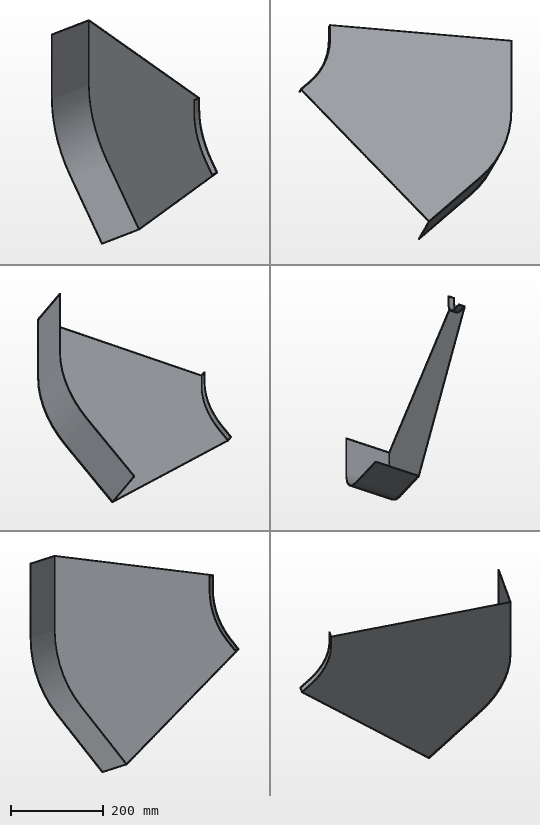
import cadquery as cq
import math

sheet = 0.8
length = 467.0
outer_depth = 100.0
inner_depth = 14.0
outer_radius = 228.8
inner_radius = 149.5
outer_straight = 163.5
turn = math.radians(45)

outer_end_x = outer_radius * (1 - math.cos(turn)) + outer_straight * math.sin(turn)
width = (length - outer_end_x) / math.cos(turn)

half_tan = math.tan(turn / 2)
inner_straight = outer_straight + (outer_radius - inner_radius - width) * half_tan


def bend_edge(radius, straight, center_x):
    """Points of a bent edge: start, arc start, arc middle, arc end and end."""

    def on_arc(angle):
        return (center_x - radius * math.cos(angle), -straight - radius * math.sin(angle))

    arc_end = on_arc(turn)
    end = (arc_end[0] + straight * math.sin(turn), arc_end[1] - straight * math.cos(turn))
    return [(center_x - radius, 0), on_arc(0), on_arc(turn / 2), arc_end, end]


def strip(edge, far_edge, depth):
    """Solid between two bent edges, standing forward (-Y) from the back face."""
    start, arc_start, arc_middle, arc_end, end = edge
    far_start, far_arc_start, far_arc_middle, far_arc_end, far_end = far_edge
    return (
        cq.Workplane("XZ")
        .moveTo(*start)
        .lineTo(*arc_start)
        .threePointArc(arc_middle, arc_end)
        .lineTo(*end)
        .lineTo(*far_end)
        .lineTo(*far_arc_end)
        .threePointArc(far_arc_middle, far_arc_start)
        .lineTo(*far_start)
        .close()
        .extrude(depth)
    )


outer_center_x = outer_radius
inner_center_x = width + inner_radius
outer_edge = bend_edge(outer_radius, outer_straight, outer_center_x)
outer_inside = bend_edge(outer_radius - sheet, outer_straight, outer_center_x)
inner_edge = bend_edge(inner_radius, inner_straight, inner_center_x)
inner_inside = bend_edge(inner_radius + sheet, inner_straight, inner_center_x)

back_plate = strip(outer_edge, inner_edge, sheet)
outer_flange = strip(outer_edge, outer_inside, outer_depth)
inner_flange = strip(inner_edge, inner_inside, inner_depth)

result = back_plate.union(outer_flange).union(inner_flange)